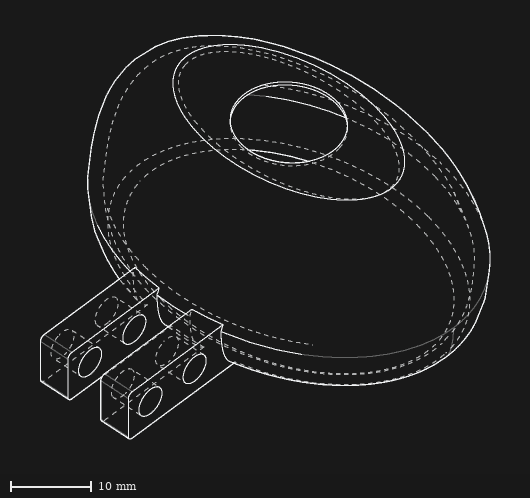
import cadquery as cq

total_height = 24.0
seam_height = 7.1
seam_radii = (28.1, 21.05)
dome_sections = [
    (seam_height, *seam_radii),
    (11.35, 28.15, 19.35),
    (15.6, 27.2, 17.5),
    (19.8, 24.55, 14.75),
    (total_height, 17.4, 10.0),
]

rim_insets = [(0, 2.55), (2.05, 0.8), (4.1, 0.25), (seam_height, 0)]
base_sections = [(height, seam_radii[0] - inset, seam_radii[1] - inset) for height, inset in rim_insets]

wall = 2.0
roof_thickness = 0.5

opening_radii = (7.5, 7.05)

total_length = 58.15
lug_width = 4.7
lug_height = 8.0
lug_span = 15.0
lug_edge_fillet = 0.7
hole_diameter = 4.2
hole_pitch = 8.0
hole_end_distance = 4.0
lug_end_y = seam_radii[1] - total_length


def loft_ellipses(sections, inset):
    """Smooth solid through stacked ellipses, all drawn in by the inset."""
    up = cq.Vector(0, 0, 1)
    along_x = cq.Vector(1, 0, 0)
    wires = [
        cq.Wire.makeEllipse(radius_x - inset, radius_y - inset, cq.Vector(0, 0, height), up, along_x)
        for height, radius_x, radius_y in sections
    ]
    return cq.Workplane(cq.Solid.makeLoft(wires))


def body_shape(inset):
    """Dome and lower rim joined at the seam."""
    return loft_ellipses(dome_sections, inset).union(loft_ellipses(base_sections, inset))


def lug(center_x):
    """Bar reaching out along -Y, pierced by two cross holes."""
    bar = (
        cq.Workplane("XY", origin=(center_x, lug_end_y, 0))
        .box(lug_width, -lug_end_y, lug_height, centered=(True, False, False))
        .faces("<Y")
        .edges("|X")
        .fillet(lug_edge_fillet)
    )
    hole_y = lug_end_y + hole_end_distance
    holes = (
        cq.Workplane("YZ", origin=(center_x - lug_width / 2, 0, 0))
        .pushPoints([(hole_y, lug_height / 2), (hole_y + hole_pitch, lug_height / 2)])
        .circle(hole_diameter / 2)
        .extrude(lug_width)
    )
    return bar.cut(holes)


body = body_shape(0)
lug_offset = (lug_span - lug_width) / 2
for side in (-1, 1):
    body = body.union(lug(side * lug_offset))

below_roof = cq.Workplane("XY").rect(total_length, total_length).extrude(total_height - roof_thickness)
cavity = body_shape(wall).intersect(below_roof)
opening = cq.Workplane("XY").ellipse(*opening_radii).extrude(total_height)
result = body.cut(cavity).cut(opening)